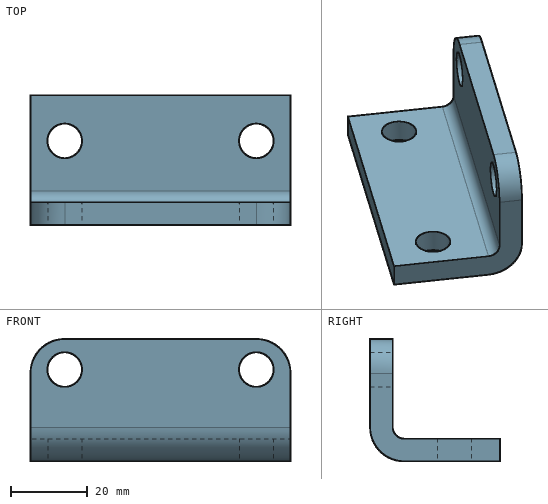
import cadquery as cq

length = 68.0
depth = 34.0
height = 32.0
thickness = 6.0
inner_bend_radius = 3.0
corner_radius = 9.0
hole_diameter = 9.0
hole_end_distance = 9.0
upright_hole_drop = 8.0
base_hole_setback = 12.0

outer_bend_radius = inner_bend_radius + thickness
hole_positions_x = (hole_end_distance, length - hole_end_distance)


def bent_plate():
    """L-shaped plate: base flange on XY, upright flange along the front."""
    plate = (
        cq.Workplane("YZ")
        .moveTo(outer_bend_radius, 0)
        .lineTo(depth, 0)
        .lineTo(depth, thickness)
        .lineTo(outer_bend_radius, thickness)
        .radiusArc((thickness, outer_bend_radius), inner_bend_radius)
        .lineTo(thickness, height)
        .lineTo(0, height)
        .lineTo(0, outer_bend_radius)
        .radiusArc((outer_bend_radius, 0), -outer_bend_radius)
        .close()
        .extrude(length)
    )
    return plate.faces(">Z").edges("|Y").fillet(corner_radius)


def upright_holes():
    """Cutters through the upright flange, running along +Y."""
    centres = [(x, height - upright_hole_drop) for x in hole_positions_x]
    return cq.Workplane("XZ").pushPoints(centres).circle(hole_diameter / 2).extrude(-thickness)


def base_holes():
    """Cutters through the base flange, running along +Z."""
    centres = [(x, depth - base_hole_setback) for x in hole_positions_x]
    return cq.Workplane("XY").pushPoints(centres).circle(hole_diameter / 2).extrude(thickness)


result = bent_plate().cut(upright_holes()).cut(base_holes())